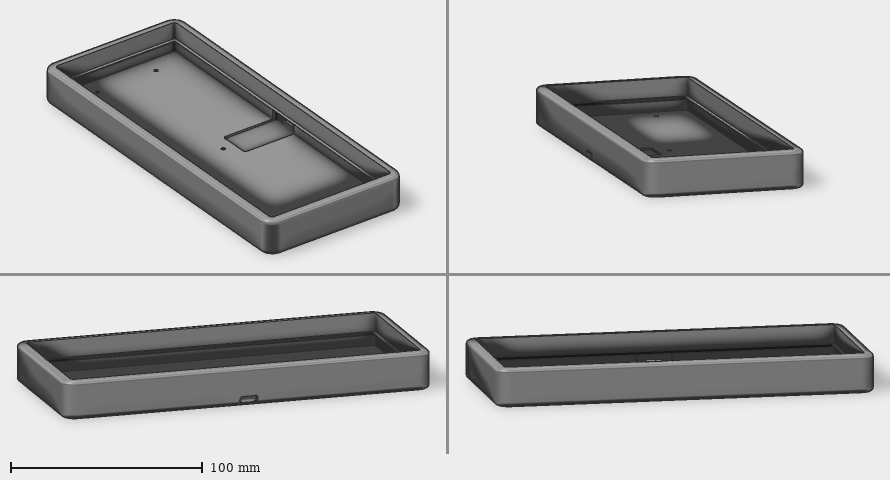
import cadquery as cq
length = 201.8
width = 87.8
height = 20.5
corner_radius = 7.5
rim_fillet = 2.5

wall = 5.0
cavity_corner_radius = 2.0
floor_thickness = 3.0
lip_width = 2.0
lip_top = 10.7
lip_slope = 45
lip_bottom = lip_top - lip_width

hole_diameter = 2.2
hole_x = 85.5
hole_y = 19.0

recess_width = 19.0
recess_front_y = 7.0
recess_wall = 2.0
recess_depth = 1.2
recess_corner_radius = 1.5
recess_floor = floor_thickness - recess_depth
recess_top = lip_bottom

port_width = 10.0
port_height = 3.2
port_center_z = recess_floor + port_height / 2


def rounded_block(size_x, size_y, bottom, top, radius):
    """Block centred on the Z axis, with rounded vertical edges."""
    block = cq.Workplane("XY").workplane(offset=bottom).rect(size_x, size_y).extrude(top - bottom)
    return block.edges("|Z").fillet(radius)


def cavity(bottom, top):
    """Space inside the walls between two heights."""
    return rounded_block(length - 2 * wall, width - 2 * wall, bottom, top, cavity_corner_radius)


def lip():
    """Ring along the walls, flat on top and narrowing downward to nothing."""
    opening = cq.Workplane("XY").workplane(offset=lip_bottom).rect(length - 2 * wall, width - 2 * wall)
    return cavity(lip_bottom, lip_top).cut(opening.extrude(lip_width, taper=lip_slope))


def connector_recess():
    back_y = width / 2 - recess_wall
    recess = rounded_block(
        recess_width, back_y - recess_front_y, recess_floor, recess_top, recess_corner_radius
    )
    return recess.translate((0, (back_y + recess_front_y) / 2, 0))


def connector_port():
    """Round-ended slot from the middle of the recess out through the +Y wall."""
    slot = cq.Workplane("XZ").center(0, port_center_z).slot2D(port_width, port_height)
    return slot.extrude(-width).translate((0, (recess_front_y + width / 2) / 2, 0))


body = rounded_block(length, width, 0, height, corner_radius)
body = body.faces("<Z or >Z").edges().fillet(rim_fillet)
body = body.cut(cavity(floor_thickness, height)).union(lip())
body = body.cut(connector_recess()).cut(connector_port())

hole_centers = [(0, 0)] + [(x, y) for x in (-hole_x, hole_x) for y in (-hole_y, hole_y)]
holes = cq.Workplane("XY").pushPoints(hole_centers).circle(hole_diameter / 2).extrude(floor_thickness)

result = body.cut(holes)